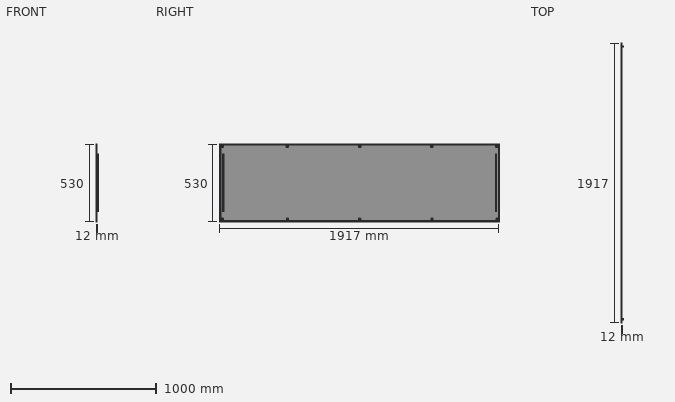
import cadquery as cq

length = 1917.0
height = 530.0
total_depth = 12.0
panel_thickness = 2.0

hole_diameter = 5.0
hole_pitch = 497.0
hole_edge_inset = 14.4
corner_slot_length = 10.0
corner_slot_inset = 13.0

rib_height = 390.0
rib_width = panel_thickness
rib_end_inset = 21.0

hole_z = height / 2 - hole_edge_inset
corner_y = length / 2 - corner_slot_inset
rib_y = length / 2 - rib_end_inset


def make_panel():
    return cq.Workplane("XY").box(panel_thickness, length, height, centered=(False, True, True))


def make_hole_cutter():
    """Round holes at the inner stations and lengthwise slots at the corners."""
    hole_points = [(i * hole_pitch, side * hole_z) for i in (-1, 0, 1) for side in (-1, 1)]
    slot_points = [(end * corner_y, side * hole_z) for end in (-1, 1) for side in (-1, 1)]
    holes = cq.Workplane("YZ").pushPoints(hole_points).circle(hole_diameter / 2).extrude(panel_thickness)
    slots = (
        cq.Workplane("YZ")
        .pushPoints(slot_points)
        .slot2D(corner_slot_length, hole_diameter)
        .extrude(panel_thickness)
    )
    return holes.add(slots).combine()


def make_rib(y):
    """Upright rib standing on the back face of the panel."""
    return (
        cq.Workplane("XY")
        .box(total_depth, rib_width, rib_height, centered=(False, True, True))
        .translate((0, y, 0))
    )


result = make_panel().union(make_rib(-rib_y)).union(make_rib(rib_y)).cut(make_hole_cutter())